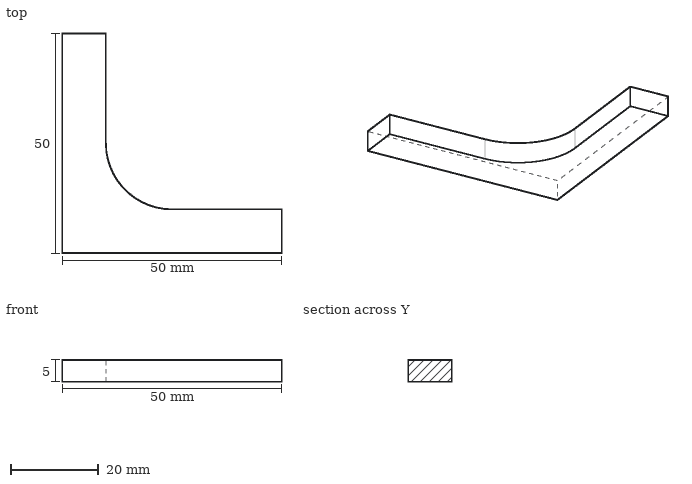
import cadquery as cq

leg_length = 50.0
leg_width = 10.0
thickness = 5.0
inner_corner_radius = 15.0


def corner_bracket():
    """Flat L-shaped bracket with equal legs along +X and +Y and a rounded inner corner."""
    outline = (
        cq.Workplane("XY")
        .moveTo(0, 0)
        .lineTo(leg_length, 0)
        .lineTo(leg_length, leg_width)
        .lineTo(leg_width + inner_corner_radius, leg_width)
        .radiusArc((leg_width, leg_width + inner_corner_radius), inner_corner_radius)
        .lineTo(leg_width, leg_length)
        .lineTo(0, leg_length)
        .close()
    )
    return outline.extrude(thickness)


result = corner_bracket()